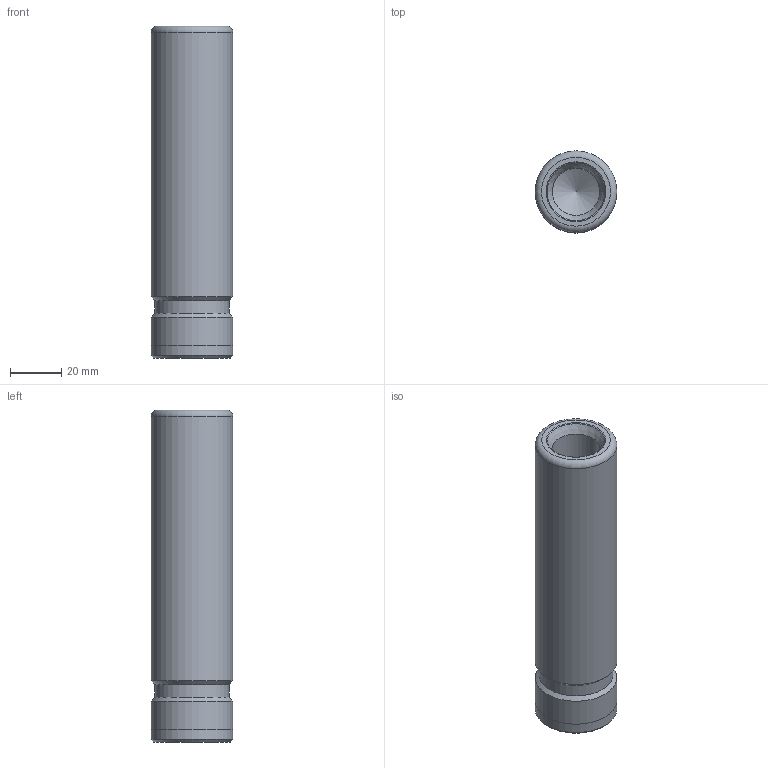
import cadquery as cq
import math

length = 130.0
outer_radius = 16.0
top_fillet = 2.5
foot_chamfer = 1.0
foot_height = 5.0
foot_taper = 0.01

groove_bottom = 16.0
groove_top = 24.0
groove_depth = 1.5

bore_radius = 9.25
bore_depth = 45.0
drill_point_angle = 118.0
mouth_radius = 11.7
rim_width = 0.4
rim_angle = 120.0
countersink_angle = 60.0


def half_angle_tangent(included_angle):
    """Radius gained per unit of height on a cone of the given included angle."""
    return math.tan(math.radians(included_angle / 2))


def make_body():
    """Revolve the outer profile (radius, height) about Z."""
    foot_radius = outer_radius - foot_taper
    groove_radius = outer_radius - groove_depth
    fillet_centre_radius = outer_radius - top_fillet
    fillet_centre_height = length - top_fillet
    fillet_mid_offset = top_fillet * math.sqrt(0.5)
    profile = (
        cq.Workplane("XZ")
        .lineTo(foot_radius - foot_chamfer, 0)
        .lineTo(foot_radius, foot_chamfer)
        .lineTo(outer_radius, foot_height)
        .lineTo(outer_radius, groove_bottom)
        .lineTo(groove_radius, groove_bottom + groove_depth)
        .lineTo(groove_radius, groove_top - groove_depth)
        .lineTo(outer_radius, groove_top)
        .lineTo(outer_radius, fillet_centre_height)
        .threePointArc(
            (fillet_centre_radius + fillet_mid_offset, fillet_centre_height + fillet_mid_offset),
            (fillet_centre_radius, length),
        )
        .lineTo(0, length)
        .close()
    )
    return profile.revolve(360, (0, 0, 0), (0, 1, 0))


def make_bore():
    """Revolve the void of the bore: rim bevel, countersink, cylinder and drill point."""
    cone_radius = mouth_radius - rim_width
    cone_top = length - rim_width / half_angle_tangent(rim_angle)
    cone_height = (cone_radius - bore_radius) / half_angle_tangent(countersink_angle)
    bore_end = length - bore_depth
    point_height = bore_radius / half_angle_tangent(drill_point_angle)
    profile = (
        cq.Workplane("XZ")
        .moveTo(0, length)
        .lineTo(mouth_radius, length)
        .lineTo(cone_radius, cone_top)
        .lineTo(bore_radius, cone_top - cone_height)
        .lineTo(bore_radius, bore_end)
        .lineTo(0, bore_end - point_height)
        .close()
    )
    return profile.revolve(360, (0, 0, 0), (0, 1, 0))


result = make_body().cut(make_bore())